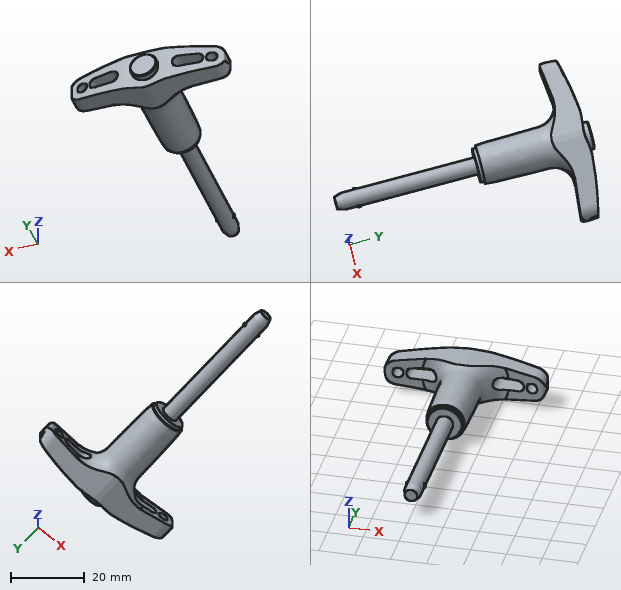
import cadquery as cq
import math


OVERALL_LENGTH = 71.88
PIN_DIAMETER = 4.76
PIN_RADIUS = PIN_DIAMETER / 2
PIN_LENGTH = 39.55
TIP_CHAMFER_LENGTH = 2.1
TIP_RADIUS = 1.75
BALL_RADIUS = 0.8
BALL_REACH = 2.74
BALL_TO_TIP = 5.95

COLLAR_RADIUS = 4.75
COLLAR_TOP = 1.05
SKIRT_BOTTOM_RADIUS = 5.37
SKIRT_TOP_RADIUS = 5.57
SKIRT_TOP = 3.2
BARREL_MIDDLE_RADIUS = 5.77
BARREL_TOP_RADIUS = 5.85
BARREL_TOP = 18.9
NECK_TOP = 19.5

SPAN = 45.18
HALF_SPAN = SPAN / 2
HANDLE_THICKNESS = 12.7
RIDGE_HALF_WIDTH = 0.83
END_RADIUS = 3.79
CROWN_X = 6.2
CROWN_Y = 30.95
SADDLE_Y = 30.4
SHOULDER_X = 14.5
SHOULDER_Y = 29.95
END_TOP_X = 22.1
END_TOP_Y = 28.35
END_BOTTOM_Y = 23.45
END_WIDEST_Y = 25.1
END_LEAN = (HALF_SPAN - END_TOP_X) / (END_TOP_Y - END_WIDEST_Y)
END_BOTTOM_X = HALF_SPAN + END_LEAN * (END_WIDEST_Y - END_BOTTOM_Y)
UNDERSIDE_SLOPE = 0.11
TOP_CORNER_RADIUS = 0.5
BOTTOM_CORNER_RADIUS = 1.3
FLARE_RADIUS = 5.6
FLARE_CENTER_X = 11.5
FLARE_RIM_TOP = 26.5
FLARE_CENTER_Y = (
    END_BOTTOM_Y
    + UNDERSIDE_SLOPE * (END_BOTTOM_X - FLARE_CENTER_X)
    - FLARE_RADIUS * math.hypot(1, UNDERSIDE_SLOPE)
)
NECK_RADIUS = FLARE_CENTER_X - math.sqrt(FLARE_RADIUS**2 - (NECK_TOP - FLARE_CENTER_Y) ** 2)

HOLE_RADIUS = 1.5
HOLE_X = 18.7
SLOT_INNER_X = 7.85
SLOT_OUTER_X = 16.4
SLOT_INNER_RADIUS = 1.9
SLOT_OUTER_RADIUS = 1.62

BUTTON_RADIUS = 3.85
BUTTON_TOP = OVERALL_LENGTH - PIN_LENGTH
BUTTON_BOTTOM = 25.0
BUTTON_EDGE = 0.25

SIDES = (-1, 1)
CUT_START = -1.0
CUT_END = 40.0


def along_y(start_y):
    """Workplane whose local axes are X and Z and whose extrusions run towards +Y."""
    return cq.Workplane(cq.Plane(origin=(0, start_y, 0), xDir=(1, 0, 0), normal=(0, -1, 0)))


def extrude_up(sketch, height):
    return sketch.extrude(-height)


def revolve_about_pin(outline):
    return outline.close().revolve(360, (0, 0, 0), (0, 1, 0))


def make_pin():
    outline = (
        cq.Workplane("XY")
        .moveTo(0, -PIN_LENGTH)
        .lineTo(TIP_RADIUS, -PIN_LENGTH)
        .lineTo(PIN_RADIUS, TIP_CHAMFER_LENGTH - PIN_LENGTH)
        .lineTo(PIN_RADIUS, COLLAR_TOP)
        .lineTo(0, COLLAR_TOP)
    )
    pin = revolve_about_pin(outline)
    for side in SIDES:
        ball_center = (side * (BALL_REACH - BALL_RADIUS), BALL_TO_TIP - PIN_LENGTH, 0)
        pin = pin.union(cq.Workplane("XY").sphere(BALL_RADIUS).translate(ball_center))
    return pin


def make_body():
    """Turned body below the handle: collar, tapered skirt, barrel and neck band."""
    outline = (
        cq.Workplane("XY")
        .lineTo(COLLAR_RADIUS, 0)
        .lineTo(COLLAR_RADIUS, COLLAR_TOP)
        .lineTo(SKIRT_BOTTOM_RADIUS, COLLAR_TOP)
        .lineTo(SKIRT_TOP_RADIUS, SKIRT_TOP)
        .threePointArc(
            (BARREL_MIDDLE_RADIUS, (SKIRT_TOP + BARREL_TOP) / 2),
            (BARREL_TOP_RADIUS, BARREL_TOP),
        )
        .lineTo(NECK_RADIUS, NECK_TOP)
        .lineTo(0, NECK_TOP)
    )
    return revolve_about_pin(outline)


def make_flare():
    """Turned flare from the neck to the underside of the wings, its rim sunk into the wings."""
    start_angle = math.pi - math.asin((NECK_TOP - FLARE_CENTER_Y) / FLARE_RADIUS)
    end_angle = math.pi / 2 - math.atan(UNDERSIDE_SLOPE)
    middle_angle = (start_angle + end_angle) / 2

    def arc_point(angle):
        return (
            FLARE_CENTER_X + FLARE_RADIUS * math.cos(angle),
            FLARE_CENTER_Y + FLARE_RADIUS * math.sin(angle),
        )

    arc_end = arc_point(end_angle)
    outline = (
        cq.Workplane("XY")
        .moveTo(0, NECK_TOP)
        .lineTo(NECK_RADIUS, NECK_TOP)
        .threePointArc(arc_point(middle_angle), arc_end)
        .lineTo(arc_end[0], FLARE_RIM_TOP)
        .lineTo(0, FLARE_RIM_TOP)
    )
    return revolve_about_pin(outline)


def make_wings():
    """Both wings as one plate, shaped by the handle's side profile."""
    wing = (
        cq.Workplane("XY")
        .workplane(offset=-HANDLE_THICKNESS / 2)
        .moveTo(0, SADDLE_Y)
        .spline([(CROWN_X, CROWN_Y)], tangents=[(1, 0), (1, 0)], includeCurrent=True)
        .threePointArc((SHOULDER_X, SHOULDER_Y), (END_TOP_X, END_TOP_Y))
        .lineTo(END_BOTTOM_X, END_BOTTOM_Y)
        .lineTo(0, END_BOTTOM_Y + UNDERSIDE_SLOPE * END_BOTTOM_X)
        .close()
        .extrude(HANDLE_THICKNESS)
    )
    wing = wing.edges(cq.NearestToPointSelector((END_TOP_X, END_TOP_Y, 0)))
    wing = wing.fillet(TOP_CORNER_RADIUS)
    wing = wing.edges(cq.NearestToPointSelector((END_BOTTOM_X, END_BOTTOM_Y, 0)))
    wing = wing.fillet(BOTTOM_CORNER_RADIUS)
    return wing.union(wing.mirror("YZ"))


def make_planform():
    """Lozenge with rounded ends that limits the handle across its thickness."""
    end_center_x = HALF_SPAN - END_RADIUS
    ridge_z = HANDLE_THICKNESS / 2
    run = end_center_x - RIDGE_HALF_WIDTH
    flank_angle = math.atan2(ridge_z, run) - math.asin(END_RADIUS / math.hypot(run, ridge_z))
    tangent_x = end_center_x + END_RADIUS * math.sin(flank_angle)
    tangent_z = END_RADIUS * math.cos(flank_angle)
    outline = (
        along_y(NECK_TOP)
        .moveTo(-RIDGE_HALF_WIDTH, ridge_z)
        .lineTo(RIDGE_HALF_WIDTH, ridge_z)
        .lineTo(tangent_x, tangent_z)
        .threePointArc((HALF_SPAN, 0), (tangent_x, -tangent_z))
        .lineTo(RIDGE_HALF_WIDTH, -ridge_z)
        .lineTo(-RIDGE_HALF_WIDTH, -ridge_z)
        .lineTo(-tangent_x, -tangent_z)
        .threePointArc((-HALF_SPAN, 0), (-tangent_x, tangent_z))
        .close()
    )
    return extrude_up(outline, CUT_END - NECK_TOP)


def make_wing_openings():
    """Round hole and tapered slot of the +X wing, cut along Y."""
    hole = extrude_up(along_y(CUT_START).center(HOLE_X, 0).circle(HOLE_RADIUS), CUT_END - CUT_START)
    inner_center_x = SLOT_INNER_X + SLOT_INNER_RADIUS
    outer_center_x = SLOT_OUTER_X - SLOT_OUTER_RADIUS
    slot_sketch = (
        along_y(CUT_START)
        .moveTo(inner_center_x, SLOT_INNER_RADIUS)
        .lineTo(outer_center_x, SLOT_OUTER_RADIUS)
        .threePointArc((SLOT_OUTER_X, 0), (outer_center_x, -SLOT_OUTER_RADIUS))
        .lineTo(inner_center_x, -SLOT_INNER_RADIUS)
        .threePointArc((SLOT_INNER_X, 0), (inner_center_x, SLOT_INNER_RADIUS))
        .close()
    )
    return hole.union(extrude_up(slot_sketch, CUT_END - CUT_START))


def make_button():
    button = extrude_up(along_y(BUTTON_BOTTOM).circle(BUTTON_RADIUS), BUTTON_TOP - BUTTON_BOTTOM)
    return button.faces(">Y").edges().chamfer(BUTTON_EDGE)


handle = make_wings().union(make_flare()).intersect(make_planform())

openings = make_wing_openings()
handle = handle.cut(openings).cut(openings.mirror("YZ"))

result = handle.union(make_body()).union(make_button()).union(make_pin())